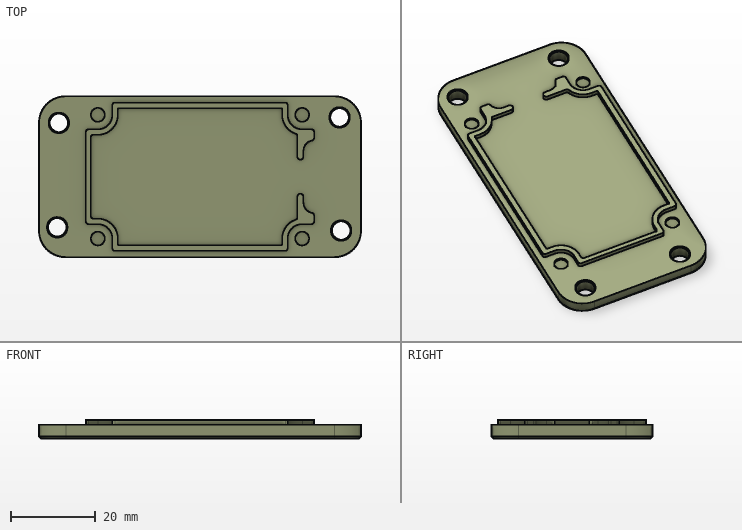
import cadquery as cq
import math

length = 76.2
width = 38.1
total_height = 4.4
wall_height = 1.15
plate_height = total_height - wall_height
plate_corner_radius = 6.3
bottom_chamfer = 0.5

hole_diameter = 4.35
hole_chamfer = 0.27
hole_centers = [(-33.4, 12.7), (-33.75, -12.0), (33.0, 14.0), (33.4, -12.7)]

dimple_diameter = 3.3
dimple_depth = 0.5
dimple_x = 24.15
dimple_y = 14.6

wall_half_length = 27.0
wall_half_width = 17.5
end_wall_thickness = 1.15
side_wall_thickness = 1.4
outer_curve_radius = 3.4
inner_curve_radius = 4.7
outer_corner_radius = 0.6
inner_side_corner_radius = 0.2
inner_end_corner_radius = 0.6

finger_width = 1.45
finger_left_x = 23.0
finger_right_x = finger_left_x + finger_width
finger_tip_y = 4.05
finger_root_radius = wall_half_length - finger_right_x
finger_root_y = 6.1
finger_blend_radius = 0.6


def stepped_block(half_length, half_width, curve_radius, side_corner_radius, end_corner_radius):
    """Block standing on the plate, stepped inward around the dimple in each corner."""
    step_x = dimple_x - curve_radius
    step_y = dimple_y - curve_radius
    on_plate = (True, True, False)
    lengthwise = cq.Workplane("XY").box(2 * half_length, 2 * step_y, wall_height, centered=on_plate)
    crosswise = cq.Workplane("XY").box(2 * step_x, 2 * half_width, wall_height, centered=on_plate)
    block = lengthwise.union(crosswise)
    block = block.edges("|Z").edges("not(<X or >X or <Y or >Y)").fillet(curve_radius)
    block = block.edges("|Z").edges("<Y or >Y").fillet(side_corner_radius)
    return block.edges("|Z").edges("<X or >X").fillet(end_corner_radius)


def finger():
    """Finger on the +Y side: a round tip, a curved root and a wide base."""
    tip_round_y = finger_tip_y + finger_width / 2
    outline = (
        cq.Workplane("XY")
        .moveTo(finger_left_x, dimple_y)
        .lineTo(finger_left_x, tip_round_y)
        .threePointArc(
            ((finger_left_x + finger_right_x) / 2, finger_tip_y),
            (finger_right_x, tip_round_y),
        )
        .lineTo(finger_right_x, finger_root_y)
        .radiusArc((wall_half_length, finger_root_y + finger_root_radius), finger_root_radius)
        .lineTo(wall_half_length, dimple_y)
        .close()
    )
    root_corner = cq.selectors.NearestToPointSelector(
        (wall_half_length, finger_root_y + finger_root_radius, wall_height / 2)
    )
    return outline.extrude(wall_height).edges(root_corner).fillet(outer_corner_radius)


def wall():
    """Wall around the pocket, with its right end replaced by the two fingers."""
    outer = stepped_block(
        wall_half_length,
        wall_half_width,
        outer_curve_radius,
        outer_corner_radius,
        outer_corner_radius,
    )
    inner = stepped_block(
        wall_half_length - end_wall_thickness,
        wall_half_width - side_wall_thickness,
        inner_curve_radius,
        inner_side_corner_radius,
        inner_end_corner_radius,
    )
    right_end = (
        cq.Workplane("XY")
        .box(length, width, wall_height, centered=(False, True, False))
        .translate((finger_left_x, 0, 0))
    )
    upper_finger = finger()
    fingers = upper_finger.union(upper_finger.mirror("XZ")).intersect(outer)
    frame = outer.cut(inner).cut(right_end).union(fingers)
    blend_y = dimple_y - math.sqrt(inner_curve_radius**2 - (dimple_x - finger_left_x) ** 2)
    for side in (1, -1):
        blend_edge = cq.selectors.NearestToPointSelector((finger_left_x, side * blend_y, wall_height / 2))
        frame = frame.edges("|Z").edges(blend_edge).fillet(finger_blend_radius)
    return frame


def plate():
    """Rounded plate with a beveled underside, screw holes and dimples."""
    body = (
        cq.Workplane("XY")
        .box(length, width, plate_height, centered=(True, True, False))
        .edges("|Z")
        .fillet(plate_corner_radius)
        .faces("<Z")
        .chamfer(bottom_chamfer)
    )
    top = cq.Workplane("XY").workplane(offset=plate_height)
    holes = top.pushPoints(hole_centers).circle(hole_diameter / 2).extrude(-plate_height)
    countersinks = (
        top.pushPoints(hole_centers)
        .circle(hole_diameter / 2 + hole_chamfer)
        .extrude(-hole_chamfer, taper=45)
    )
    dimples = (
        top.rect(2 * dimple_x, 2 * dimple_y, forConstruction=True)
        .vertices()
        .circle(dimple_diameter / 2)
        .extrude(-dimple_depth)
    )
    return body.cut(holes).cut(countersinks).cut(dimples)


result = plate().union(wall().translate((0, 0, plate_height)))